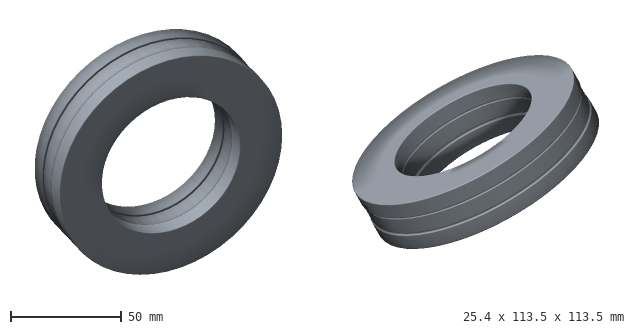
import cadquery as cq

total_width = 25.4
washer_outer_diameter = 113.5
washer_bore_diameter = 69.8
washer_width = 8.0
edge_radius = 0.51

ring_outer_diameter = washer_outer_diameter - 2 * edge_radius
ring_bore_diameter = washer_bore_diameter + 2 * edge_radius
ring_clearance = 0.6
ring_width = total_width - 2 * washer_width - 2 * ring_clearance


def annular_ring(outer_diameter, bore_diameter, width, center_x):
    """Flat ring about the X axis with all four circular edges rounded."""
    return (
        cq.Workplane("YZ")
        .workplane(offset=center_x - width / 2)
        .circle(outer_diameter / 2)
        .circle(bore_diameter / 2)
        .extrude(width)
        .edges("%CIRCLE")
        .fillet(edge_radius)
    )


washer_center_x = (total_width - washer_width) / 2
washers = []
for side in (-1, 1):
    washer = annular_ring(
        washer_outer_diameter, washer_bore_diameter, washer_width, side * washer_center_x
    )
    washers.append(washer.val())

middle_ring = annular_ring(ring_outer_diameter, ring_bore_diameter, ring_width, 0)

result = cq.Compound.makeCompound([*washers, middle_ring.val()])